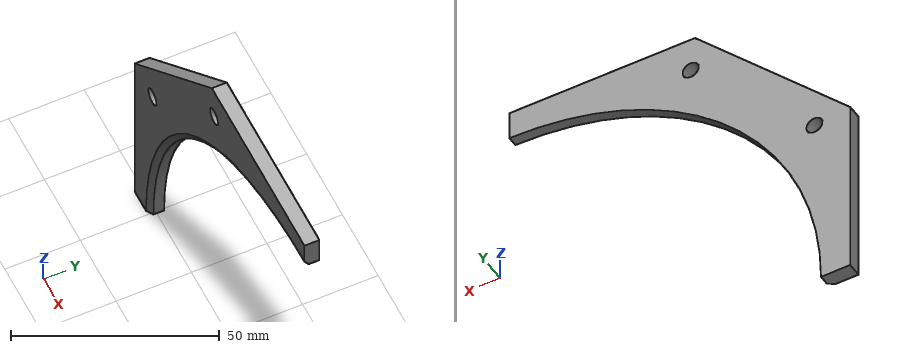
import cadquery as cq

side = 95.0
thickness = 4.0

corner_cut = 43.2
hole_diameter = 4.5
hole_edge_distance = 10.0
hole_far_distance = 44.5

arc_radius = 86.8
bevel_width = 1.7
bevel_depth = 1.1


def plate_blank():
    """Square plate with its upper left corner cut off at 45 degrees."""
    outline = [
        (0, 0),
        (side, 0),
        (side, side),
        (corner_cut, side),
        (0, side - corner_cut),
    ]
    return cq.Workplane("XZ").polyline(outline).close().extrude(-thickness)


def arc_cutter():
    """Cylinder that leaves the concave edge."""
    return cq.Workplane("XZ").center(side, 0).circle(arc_radius).extrude(-thickness)


def bevel_cutter():
    """Cone frustum that narrows from the front face down to the arc radius."""
    cone = cq.Solid.makeCone(
        arc_radius + bevel_width,
        arc_radius,
        bevel_depth,
        pnt=cq.Vector(side, 0, 0),
        dir=cq.Vector(0, 1, 0),
    )
    return cq.Workplane(cone)


def hole_cutters():
    """Through holes mirrored about the diagonal of the plate."""
    centers = [
        (hole_edge_distance, side - hole_far_distance),
        (hole_far_distance, side - hole_edge_distance),
    ]
    return cq.Workplane("XZ").pushPoints(centers).circle(hole_diameter / 2).extrude(-thickness)


result = plate_blank().cut(arc_cutter()).cut(bevel_cutter()).cut(hole_cutters())